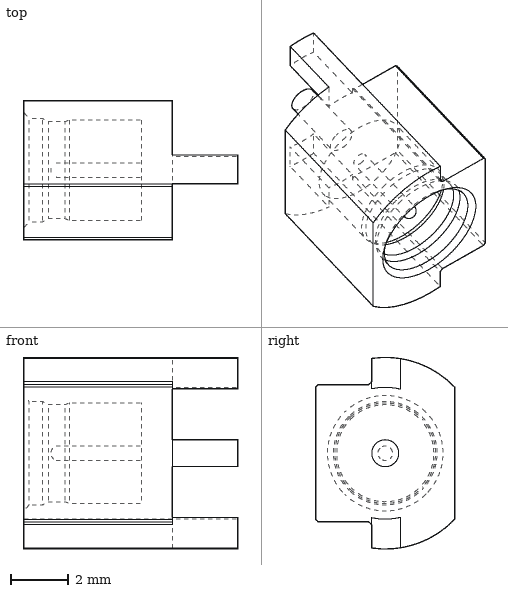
import cadquery as cq
import math

total_length = 7.48
body_length = 5.2
half_width = 2.43
outer_radius = 3.35

block_half_height = 2.4
block_chamfer = 0.08
step_y = -0.48
step_corner = 0.1

leg_back_y = 0.54
leg_inner_radius = 2.305

mouth_radius = 2.02
mouth_depth = 0.19
entry_radius = 1.81
entry_depth = 0.65
bore_radius = 1.7
bore_start = 0.87
flare_start = 1.44
flare_end = 1.6
chamber_radius = 1.76
socket_depth = 4.115

contact_radius = 0.255
contact_center_x = 1.205
pin_radius = 0.47


def make_body():
    """Rounded back half and chamfered square front half, extruded to the leg tips."""
    shoulder_z = math.sqrt(outer_radius**2 - half_width**2)
    step_top_z = math.sqrt(outer_radius**2 - step_y**2)
    arc_angle = (math.atan2(shoulder_z, half_width) + math.atan2(step_top_z, step_y)) / 2
    arc_mid = (outer_radius * math.cos(arc_angle), outer_radius * math.sin(arc_angle))
    return (
        cq.Workplane("YZ")
        .moveTo(half_width, 0)
        .lineTo(half_width, shoulder_z)
        .threePointArc(arc_mid, (step_y, step_top_z))
        .lineTo(step_y, block_half_height + step_corner)
        .lineTo(step_y - step_corner, block_half_height)
        .lineTo(-half_width + block_chamfer, block_half_height)
        .lineTo(-half_width, block_half_height - block_chamfer)
        .lineTo(-half_width, 0)
        .mirrorX()
        .extrude(total_length)
    )


def make_leg_clearance():
    """Space behind the body to remove so that only the two legs remain."""
    clearance_length = total_length - body_length
    height = 2 * outer_radius
    workplane = cq.Workplane("YZ", origin=(body_length, 0, 0))
    between_legs = workplane.circle(leg_inner_radius).extrude(clearance_length)
    behind = workplane.center(leg_back_y + half_width, 0).rect(2 * half_width, height).extrude(clearance_length)
    in_front = workplane.center(step_y - half_width, 0).rect(2 * half_width, height).extrude(clearance_length)
    return [between_legs, behind, in_front]


def make_socket():
    """Revolved cavity with a tapered mouth, a narrowed bore and a wider inner chamber."""
    profile = [
        (0, 0),
        (0, mouth_radius),
        (mouth_depth, entry_radius),
        (entry_depth, entry_radius),
        (bore_start, bore_radius),
        (flare_start, bore_radius),
        (flare_end, chamber_radius),
        (socket_depth, chamber_radius),
        (socket_depth, 0),
    ]
    return cq.Workplane("XY").polyline(profile).close().revolve(360, (0, 0, 0), (1, 0, 0))


def make_contact():
    """Round-nosed contact standing on the socket floor."""
    rod = (
        cq.Workplane("YZ", origin=(contact_center_x, 0, 0))
        .circle(contact_radius)
        .extrude(body_length - contact_center_x)
    )
    nose = cq.Workplane("XY").sphere(contact_radius).translate((contact_center_x, 0, 0))
    return rod.union(nose)


def make_pin():
    """Solder pin from the socket floor to the tips of the legs."""
    return (
        cq.Workplane("YZ", origin=(socket_depth, 0, 0))
        .circle(pin_radius)
        .extrude(total_length - socket_depth)
    )


result = make_body()
for clearance in make_leg_clearance():
    result = result.cut(clearance)
result = result.cut(make_socket()).union(make_contact()).union(make_pin())